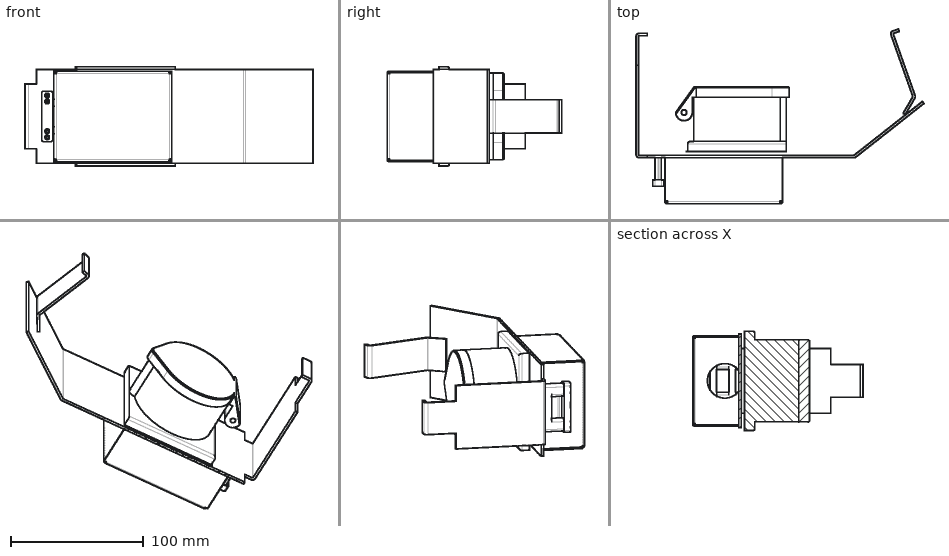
import cadquery as cq
import math


SHEET = 2.0
BEND_OUTER = 2.4
BEND_INNER = BEND_OUTER - SHEET

ARM_HEIGHT = 93.6
LIP_LENGTH = 8.7
WING_BEND_X = 165.0
WING_TIP = (216.7, 40.7)
BRACKET_WIDTH = 70.9
ARM_WIDTH = 49.0
ARM_TIP_WIDTH = 24.7
ARM_SHOULDER_X = 8.7
ARM_SHOULDER_Y = 69.4

CLIP_PATH = [(202.6, 32.3), (210.5, 45.7), (193.5, 93.5), (198.0, 95.0)]
CLIP_WIDTH = 25.1

BOX_LEFT = 21.7
BOX_LENGTH = 88.6
BOX_DEPTH = 34.7
BOX_WIDTH = 68.3
BOX_WALL = 0.9
BOX_BEND = 1.7
CORNER_RELIEF = 2.0
SEAM_GAP = 0.2
CABLE_HOLE_RADIUS = 13.0
CABLE_HOLE_Y = -10.5

CLAMP_X = 16.7
CLAMP_PLATE_LENGTH = 8.5
CLAMP_PLATE_WIDTH = 38.1
CLAMP_PLATE_CORNER = 1.7
CLAMP_PLATE_THICKNESS = 5.0
CLAMP_POST_HEIGHT = 16.7
CLAMP_POST_THICKNESS = 5.0
CLAMP_POST_ROUNDING = 2.2
CLAMP_POST_WIDTH = 10.0
CLAMP_POST_Z = 13.5
CLAMP_BAR_GAP = 2.4
CLAMP_BAR_HEIGHT = 5.0
SCREW_HEAD_RADIUS = 1.7
SCREW_HOLE_RADIUS = 0.9
SCREW_HOLE_SPACING = 4.5

SOCKET_X = 76.0
SOCKET_RADIUS = 32.7
GASKET_BASE_Y = 4.3
GASKET_THICKNESS = 0.33
GASKET_MARGIN = 0.9
FLANGE_LEFT = 38.8
FLANGE_RIGHT = 113.1
FLANGE_WIDTH = 75.0
FLANGE_THICKNESS = 7.5
FLANGE_ROUNDING = 2.0
BARREL_RADIUS = 4.3
LID_BASE_Y = 45.3
LID_THICKNESS = 8.0
LID_CHAMFER = 0.9
LID_TIP_RADIUS = 5.5
LID_RIGHT = 115.5
HINGE_X = 36.2
HINGE_Y = 34.0
HINGE_RADIUS = 6.3
HINGE_HOLE_RADIUS = 2.0
HINGE_TOP_X = 43.8
HINGE_ROOT_X = 45.5
HINGE_WIDTH = 28.2

FLANGE_BASE_Y = GASKET_BASE_Y + GASKET_THICKNESS
FLANGE_TOP_Y = FLANGE_BASE_Y + FLANGE_THICKNESS
LID_TOP_Y = LID_BASE_Y + LID_THICKNESS


def block(x0, x1, y0, y1, z0, z1):
    """Box between the given limits."""
    return cq.Workplane("XY").box(x1 - x0, y1 - y0, z1 - z0, centered=False).translate((x0, y0, z0))


def left_normal(start, end):
    """Unit vector pointing to the left of the direction from start to end."""
    dx = end[0] - start[0]
    dy = end[1] - start[1]
    length = math.hypot(dx, dy)
    return -dy / length, dx / length


def left_offset(path):
    """The path moved one sheet thickness to its left, with mitred corners."""
    normals = [left_normal(a, b) for a, b in zip(path, path[1:])]
    moved = []
    for point, before, after in zip(path, normals[:1] + normals, normals + normals[-1:]):
        mitre = SHEET / (1 + before[0] * after[0] + before[1] * after[1])
        moved.append((point[0] + mitre * (before[0] + after[0]), point[1] + mitre * (before[1] + after[1])))
    return moved


def bent_strip(path, width):
    """Sheet strip with one face along the path, rounded inside and outside each bend."""
    other_face = left_offset(path)
    strip = cq.Workplane("XY").polyline(path + other_face[::-1]).close().extrude(width / 2, both=True)
    for i in range(1, len(path) - 1):
        before = left_normal(path[i - 1], path[i])
        after = left_normal(path[i], path[i + 1])
        turns_left = before[0] * after[1] - before[1] * after[0] > 0
        outer, inner = (path[i], other_face[i]) if turns_left else (other_face[i], path[i])
        for corner, radius in ((outer, BEND_OUTER), (inner, BEND_INNER)):
            strip = strip.edges(cq.selectors.NearestToPointSelector((*corner, 0))).fillet(radius)
    return strip


def make_bracket():
    path = [(LIP_LENGTH, ARM_HEIGHT), (0, ARM_HEIGHT), (0, 0), (WING_BEND_X, 0), WING_TIP]
    bracket = bent_strip(path, BRACKET_WIDTH)
    steps = (
        (ARM_SHOULDER_X, -SHEET, ARM_SHOULDER_Y, ARM_WIDTH),
        (LIP_LENGTH + SHEET, ARM_SHOULDER_Y, ARM_HEIGHT + SHEET, ARM_TIP_WIDTH),
    )
    for right, bottom, top, width in steps:
        for side in (-1, 1):
            z_limits = sorted((side * width / 2, side * BRACKET_WIDTH))
            bracket = bracket.cut(block(-SHEET, right, bottom, top, *z_limits))
    return bracket


def make_clip():
    return bent_strip(CLIP_PATH, CLIP_WIDTH)


def front_rounded_block(inset, front_y, rounding):
    """Block inset from the box sides, with its front edges rounded."""
    half = BOX_WIDTH / 2 - inset
    solid = block(BOX_LEFT + inset, BOX_LEFT + BOX_LENGTH - inset, front_y, 0, -half, half)
    return solid.faces("<Y").edges().fillet(rounding)


def make_box():
    """Open-backed folded sheet box with relieved front corners, corner seams and a cable hole."""
    front_y = -BOX_DEPTH
    half = BOX_WIDTH / 2
    cavity = front_rounded_block(BOX_WALL, front_y + BOX_WALL, BOX_BEND - BOX_WALL)
    box = front_rounded_block(0, front_y, BOX_BEND).cut(cavity)
    relief = cq.Workplane("XY").box(2 * CORNER_RELIEF, 2 * CORNER_RELIEF, 2 * CORNER_RELIEF)
    seam = block(-BOX_WALL, BOX_WALL, front_y, 0, -SEAM_GAP / 2, SEAM_GAP / 2)
    seam_z = half - BOX_WALL - SEAM_GAP / 2
    for x in (BOX_LEFT, BOX_LEFT + BOX_LENGTH):
        for side in (-1, 1):
            box = box.cut(relief.translate((x, front_y, side * half)))
            box = box.cut(seam.translate((x, 0, side * seam_z)))
    hole = (
        cq.Workplane("YZ", origin=(BOX_LEFT, 0, 0))
        .center(CABLE_HOLE_Y, 0)
        .circle(CABLE_HOLE_RADIUS)
        .extrude(BOX_WALL)
    )
    return box.cut(hole)


def make_clamp():
    """Two rounded posts joined by a bar near the bracket and a plate at their ends."""
    post_centres = [(CLAMP_X, -CLAMP_POST_Z), (CLAMP_X, CLAMP_POST_Z)]
    clamp = (
        cq.Workplane("XZ")
        .pushPoints(post_centres)
        .rect(CLAMP_POST_THICKNESS, CLAMP_POST_WIDTH)
        .extrude(CLAMP_POST_HEIGHT)
        .edges("|Y")
        .fillet(CLAMP_POST_ROUNDING)
    )
    bar = (
        cq.Workplane("XZ", origin=(CLAMP_X, -CLAMP_BAR_GAP, 0))
        .rect(CLAMP_POST_THICKNESS, 2 * CLAMP_POST_Z)
        .extrude(CLAMP_BAR_HEIGHT)
    )
    plate = (
        cq.Workplane("XZ", origin=(CLAMP_X, -CLAMP_POST_HEIGHT, 0))
        .rect(CLAMP_PLATE_LENGTH, CLAMP_PLATE_WIDTH)
        .extrude(CLAMP_PLATE_THICKNESS)
        .edges("|Y")
        .fillet(CLAMP_PLATE_CORNER)
    )
    hole_offset = SCREW_HOLE_SPACING / 2
    hole_centres = [(x, z + step) for x, z in post_centres for step in (-hole_offset, hole_offset)]
    shanks = (
        cq.Workplane("XZ")
        .pushPoints(hole_centres)
        .circle(SCREW_HOLE_RADIUS)
        .extrude(CLAMP_POST_HEIGHT)
    )
    heads = (
        cq.Workplane("XZ", origin=(0, -CLAMP_POST_HEIGHT, 0))
        .pushPoints(hole_centres)
        .circle(SCREW_HEAD_RADIUS)
        .extrude(CLAMP_PLATE_THICKNESS)
    )
    return clamp.union(bar).union(plate).cut(shanks).cut(heads)


def make_gasket():
    half = FLANGE_WIDTH / 2
    return block(FLANGE_LEFT - GASKET_MARGIN, FLANGE_RIGHT, GASKET_BASE_Y, FLANGE_BASE_Y, -half, half)


def upright_cylinder(x, radius, base_y, top_y):
    """Cylinder with its axis along Y, on the Z = 0 plane."""
    return cq.Workplane("XZ", origin=(x, base_y, 0)).circle(radius).extrude(base_y - top_y)


def make_socket():
    half = FLANGE_WIDTH / 2
    flange = block(FLANGE_LEFT, FLANGE_RIGHT, FLANGE_BASE_Y, FLANGE_TOP_Y, -half, half)
    flange = flange.faces(">Y").edges("<X or <Z or >Z").fillet(FLANGE_ROUNDING)
    body = upright_cylinder(SOCKET_X, SOCKET_RADIUS, FLANGE_BASE_Y, LID_BASE_Y)
    barrel = upright_cylinder(FLANGE_RIGHT - BARREL_RADIUS, BARREL_RADIUS, FLANGE_BASE_Y, LID_BASE_Y)
    return flange.union(body).union(barrel)


def make_lid_plate():
    """Disc drawn out along tangent lines to a small round tip."""
    tip_x = LID_RIGHT - LID_TIP_RADIUS
    tangent_cos = (SOCKET_RADIUS - LID_TIP_RADIUS) / (tip_x - SOCKET_X)
    tangent_sin = math.sqrt(1 - tangent_cos**2)
    disc_point = (SOCKET_X + SOCKET_RADIUS * tangent_cos, SOCKET_RADIUS * tangent_sin)
    tip_point = (tip_x + LID_TIP_RADIUS * tangent_cos, LID_TIP_RADIUS * tangent_sin)
    return (
        cq.Workplane("XZ", origin=(0, LID_BASE_Y, 0))
        .moveTo(*disc_point)
        .threePointArc((SOCKET_X - SOCKET_RADIUS, 0), (disc_point[0], -disc_point[1]))
        .lineTo(tip_point[0], -tip_point[1])
        .threePointArc((LID_RIGHT, 0), tip_point)
        .close()
        .extrude(-LID_THICKNESS)
        .faces(">Y")
        .chamfer(LID_CHAMFER)
    )


def make_hinge_arm():
    """Slanted arm from the lid down to a round knuckle, before its pin hole is cut."""
    knuckle_start = (HINGE_X - HINGE_RADIUS, HINGE_Y)
    knuckle_end = (HINGE_X + HINGE_RADIUS, HINGE_Y)
    slant_middle = ((HINGE_TOP_X + knuckle_start[0]) / 2, (LID_TOP_Y + knuckle_start[1]) / 2, 0)
    return (
        cq.Workplane("XY")
        .moveTo(HINGE_ROOT_X, LID_TOP_Y)
        .lineTo(HINGE_TOP_X, LID_TOP_Y)
        .lineTo(*knuckle_start)
        .threePointArc((HINGE_X, HINGE_Y - HINGE_RADIUS), knuckle_end)
        .lineTo(knuckle_end[0], LID_BASE_Y)
        .lineTo(HINGE_ROOT_X, LID_BASE_Y)
        .close()
        .extrude(HINGE_WIDTH / 2, both=True)
        .faces(cq.selectors.NearestToPointSelector(slant_middle))
        .edges("<Z or >Z")
        .chamfer(LID_CHAMFER)
    )


def make_lid():
    lid = make_lid_plate().union(make_hinge_arm())
    pin_hole = cq.Workplane("XY").center(HINGE_X, HINGE_Y).circle(HINGE_HOLE_RADIUS)
    return lid.cut(pin_hole.extrude(HINGE_WIDTH / 2, both=True))


bracket = make_bracket()
clip = make_clip()
box = make_box()
clamp = make_clamp()
gasket = make_gasket()
socket = make_socket()
lid = make_lid()

result = cq.Compound.makeCompound([body.val() for body in (bracket, clip, box, clamp, gasket, socket, lid)])